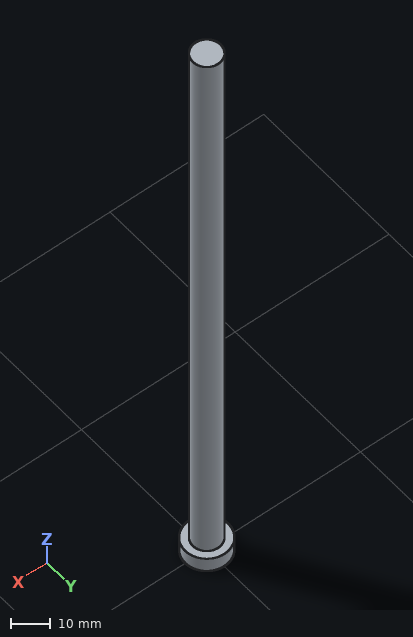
import cadquery as cq

total_length = 200.0
head_diameter = 14.0
head_height = 5.0
shank_diameter = 9.0

head = cq.Workplane("XY").circle(head_diameter / 2).extrude(head_height)
shank = cq.Workplane("XY").circle(shank_diameter / 2).extrude(total_length)

result = head.union(shank)